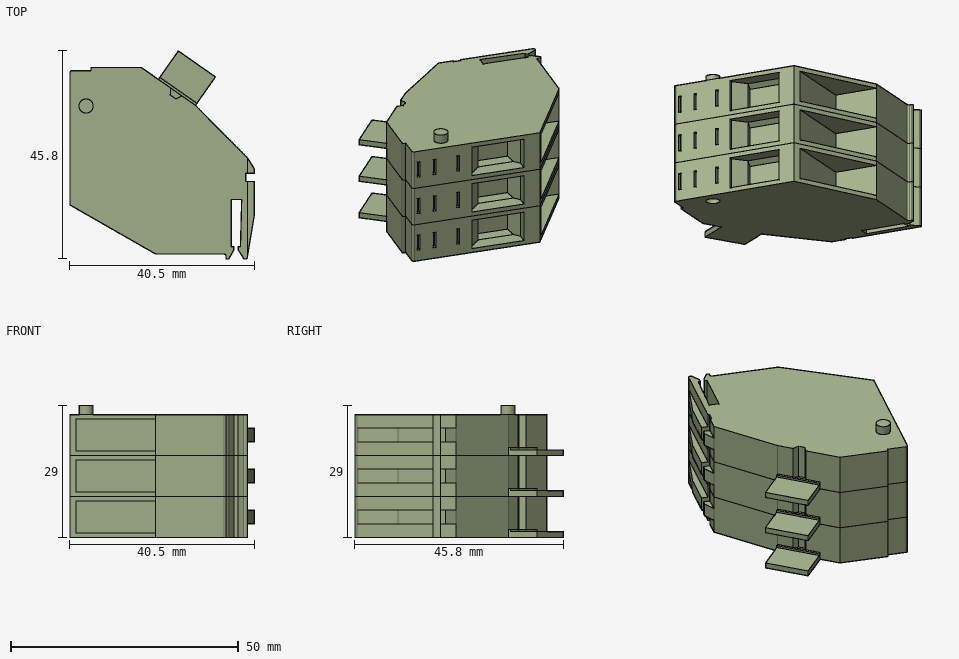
import cadquery as cq
import math


MODULE_COUNT = 3
STACK_HEIGHT = 27.0
MODULE_HEIGHT = STACK_HEIGHT / MODULE_COUNT
WALL = 1.0

OVERALL_DEPTH = 45.75
BODY_WIDTH = 39.05
BODY_BACK = 42.15
BODY_FRONT = 1.1
LEDGE_DROP = 0.75
LEDGE_LENGTH = 4.6
LEDGE_CORNER_RADIUS = 0.5
STEP_CORNER_RADIUS = 0.27
FRONT_SLANT_X = 18.85
FRONT_SLANT_Y = 11.9
BACK_SLANT_X = 15.65
BACK_SLANT_END = (27.6, 33.8)
RIGHT_TOP_Y = 22.25

SLOT_LEFT = 35.45
SLOT_RIGHT = 37.7
SLOT_TOP = 13.1
SLOT_TAPER = 0.27
HOOK_TOP = 2.75
HOOK_SIDE_END = 1.95
HOOK_LEFT_TIP = 36.0
HOOK_RIGHT_TIP = 37.0
LEFT_LEG_OUTER = 34.3
LEFT_LEG_INNER = 34.88
LEFT_LEG_RADIUS = 0.25
RIGHT_LEG_RADIUS = 0.5
LEG_ROOT_RADIUS = 0.4

OVERALL_WIDTH = 40.5
RIB_THICKNESS = 3.0
RIB_CHAMFER_Y = 19.85
RIB_TAPER_Y = 9.5
RIB_END_Y = 0.7
GROOVE_BOTTOM = 17.1
GROOVE_TOP = 18.85
GROOVE_DEPTH = 0.35

TAB_LENGTH = 10.0
TAB_THICKNESS = 1.3
TAB_EMBED = 1.37
TAB_ROOT_WIDTH = 0.55
TAB_ROOT_THICKNESS = 1.75
NOTCH_SIDE = 1.5
NOTCH_FROM_END = 5.13

POCKET_LEFT = 1.37

WINDOW_FRONT = 15.6
WINDOW_BACK = 27.6
WINDOW_LIP = 0.75
WINDOW_RAMP_DEPTH = 2.8
WINDOW_RAMP_RUN = 2.6
FUNNEL_DEPTH = 1.0
WINDOW_FLOOR_FRONT = 17.85

SLIT_CENTRES_Y = (30.85, 36.25, 40.0)
SLIT_WIDTH = 0.6
SLIT_HEIGHT = 3.7
SLIT_DEPTH = 1.0

PIN_X = 3.55
PIN_Y = 33.65
PIN_RADIUS = 1.55
PIN_HEIGHT = 2.0

SLANT_RUN = BACK_SLANT_END[0] - BACK_SLANT_X
SLANT_RISE = BODY_BACK - BACK_SLANT_END[1]
SLANT_ANGLE = math.atan2(SLANT_RISE, SLANT_RUN)
TAB_REACH = (
    OVERALL_DEPTH - BACK_SLANT_END[1] - TAB_LENGTH * math.sin(SLANT_ANGLE)
) / math.cos(SLANT_ANGLE)


def box(x_min, x_max, y_min, y_max, z_min, z_max):
    """Box between two limits on each axis."""
    size = (x_max - x_min, y_max - y_min, z_max - z_min)
    return cq.Workplane("XY").box(*size, centered=False).translate((x_min, y_min, z_min))


def prism(points, z_min, z_max):
    """Upright prism with the given XY outline."""
    return cq.Workplane("XY").workplane(offset=z_min).polyline(points).close().extrude(z_max - z_min)


def round_corner(solid, corner, radius):
    """Fillet the upright edge that stands on the given XY point."""
    x, y = corner
    reach = 0.025
    selector = cq.selectors.BoxSelector(
        (x - reach, y - reach, -reach), (x + reach, y + reach, MODULE_HEIGHT + reach)
    )
    return solid.edges("|Z").edges(selector).fillet(radius)


def spring_leg_round():
    """Start, middle and end of the arc that rounds the spring leg's tip, from its outer side."""
    centre_x = BODY_WIDTH - RIGHT_LEG_RADIUS
    centre_y = RIGHT_LEG_RADIUS
    hook_dx = HOOK_RIGHT_TIP - centre_x
    hook_dy = HOOK_SIDE_END - centre_y
    hook_direction = math.atan2(hook_dy, hook_dx)
    tangent = hook_direction + math.acos(RIGHT_LEG_RADIUS / math.hypot(hook_dx, hook_dy))
    arc_end = (
        centre_x + RIGHT_LEG_RADIUS * math.cos(tangent),
        centre_y + RIGHT_LEG_RADIUS * math.sin(tangent),
    )
    return (BODY_WIDTH, centre_y), (centre_x, 0), arc_end


def body_plate():
    """Full-height plate with the module's outline, its rail slot and its two hooked legs."""
    ledge_y = BODY_BACK - LEDGE_DROP
    round_start, round_middle, round_end = spring_leg_round()
    outline = [
        round_end,
        (HOOK_RIGHT_TIP, HOOK_SIDE_END),
        (HOOK_RIGHT_TIP, HOOK_TOP),
        (SLOT_RIGHT - SLOT_TAPER, HOOK_TOP),
        (SLOT_RIGHT, SLOT_TOP),
        (SLOT_LEFT, SLOT_TOP),
        (SLOT_LEFT, HOOK_TOP),
        (HOOK_LEFT_TIP, HOOK_TOP),
        (HOOK_LEFT_TIP, HOOK_SIDE_END),
        (LEFT_LEG_INNER, 0),
        (LEFT_LEG_OUTER, 0),
        (LEFT_LEG_OUTER, BODY_FRONT),
        (FRONT_SLANT_X, BODY_FRONT),
        (0, FRONT_SLANT_Y),
        (0, ledge_y),
        (LEDGE_LENGTH, ledge_y),
        (LEDGE_LENGTH, BODY_BACK),
        (BACK_SLANT_X, BODY_BACK),
        BACK_SLANT_END,
        (BODY_WIDTH, RIGHT_TOP_Y),
        round_start,
    ]
    plate = (
        cq.Workplane("XY")
        .polyline(outline)
        .threePointArc(round_middle, round_end)
        .close()
        .extrude(MODULE_HEIGHT)
    )
    rounded_corners = [
        ((0, ledge_y), LEDGE_CORNER_RADIUS),
        ((LEDGE_LENGTH, BODY_BACK), STEP_CORNER_RADIUS),
        ((LEFT_LEG_INNER, 0), LEFT_LEG_RADIUS),
        ((LEFT_LEG_OUTER, 0), LEFT_LEG_RADIUS),
        ((LEFT_LEG_OUTER, BODY_FRONT), LEG_ROOT_RADIUS),
    ]
    for corner, radius in rounded_corners:
        plate = round_corner(plate, corner, radius)
    return plate


def release_rib():
    """Tapered rib at mid-height along the right side."""
    z_min = (MODULE_HEIGHT - RIB_THICKNESS) / 2
    outline = [
        (BODY_WIDTH, RIB_END_Y),
        (OVERALL_WIDTH, RIB_TAPER_Y),
        (OVERALL_WIDTH, RIB_CHAMFER_Y),
        (BODY_WIDTH, RIGHT_TOP_Y),
    ]
    return prism(outline, z_min, z_min + RIB_THICKNESS)


def release_groove():
    """Screwdriver groove across the rib and slightly into the body."""
    return box(
        BODY_WIDTH - GROOVE_DEPTH, OVERALL_WIDTH, GROOVE_BOTTOM, GROOVE_TOP, 0, MODULE_HEIGHT
    )


def slant_point(along, outward):
    """XY point given along the back slant from its lower end, and outward from it."""
    x = BACK_SLANT_END[0] - along * math.cos(SLANT_ANGLE) + outward * math.sin(SLANT_ANGLE)
    y = BACK_SLANT_END[1] + along * math.sin(SLANT_ANGLE) + outward * math.cos(SLANT_ANGLE)
    return (x, y)


def tab_plate(outward, thickness):
    """Plate at the bottom of the module, standing out from the back slant."""
    outline = [
        BACK_SLANT_END,
        slant_point(0, outward),
        slant_point(TAB_LENGTH, outward),
        slant_point(TAB_LENGTH, -TAB_EMBED),
        slant_point(TAB_EMBED, -TAB_EMBED),
    ]
    return prism(outline, 0, thickness)


def tab_notch():
    """Half-hexagonal notch in the slant, open at the top and ending on the level of the tab."""
    half_height = NOTCH_SIDE * math.sin(math.radians(60))
    outline = [
        slant_point(NOTCH_FROM_END - NOTCH_SIDE, 0),
        slant_point(NOTCH_FROM_END - NOTCH_SIDE / 2, -half_height),
        slant_point(NOTCH_FROM_END + NOTCH_SIDE / 2, -half_height),
        slant_point(NOTCH_FROM_END + NOTCH_SIDE, 0),
    ]
    return prism(outline, TAB_THICKNESS, MODULE_HEIGHT)


def front_pocket():
    """Square-cornered pocket that opens through the slanted front face."""
    slant_slope = (FRONT_SLANT_Y - BODY_FRONT) / FRONT_SLANT_X
    pocket_back = FRONT_SLANT_Y - slant_slope * POCKET_LEFT
    outline = [(POCKET_LEFT, pocket_back), (FRONT_SLANT_X, pocket_back), (FRONT_SLANT_X, BODY_FRONT)]
    return prism(outline, WALL, MODULE_HEIGHT - WALL)


def entry_window():
    """Wire-entry window: a ramped opening that narrows to its floor in a 45 degree funnel."""
    ramp_end_x = WINDOW_LIP + WINDOW_RAMP_DEPTH
    floor_x = ramp_end_x + FUNNEL_DEPTH
    ramp_end_y = WINDOW_BACK - WINDOW_RAMP_RUN
    front_ramp_x = floor_x - (WINDOW_FLOOR_FRONT - WINDOW_FRONT)
    plan = prism(
        [
            (0, WINDOW_FRONT),
            (front_ramp_x, WINDOW_FRONT),
            (floor_x, WINDOW_FLOOR_FRONT),
            (floor_x, ramp_end_y),
            (ramp_end_x, ramp_end_y),
            (WINDOW_LIP, WINDOW_BACK),
            (0, WINDOW_BACK),
        ],
        WALL,
        MODULE_HEIGHT - WALL,
    )
    section = (
        cq.Workplane("XZ", origin=(0, WINDOW_BACK, 0))
        .polyline(
            [
                (0, WALL),
                (ramp_end_x, WALL),
                (floor_x, WALL + FUNNEL_DEPTH),
                (floor_x, MODULE_HEIGHT - WALL - FUNNEL_DEPTH),
                (ramp_end_x, MODULE_HEIGHT - WALL),
                (0, MODULE_HEIGHT - WALL),
            ]
        )
        .close()
        .extrude(WINDOW_BACK - WINDOW_FRONT)
    )
    return plan.intersect(section)


def test_slit(centre_y):
    """Narrow upright slit in the left face."""
    z_min = (MODULE_HEIGHT - SLIT_HEIGHT) / 2
    y_min = centre_y - SLIT_WIDTH / 2
    return box(0, SLIT_DEPTH, y_min, y_min + SLIT_WIDTH, z_min, z_min + SLIT_HEIGHT)


def pin_cylinder(z_min):
    """Cylinder on the pin axis, used for the pin and for its socket."""
    return cq.Workplane("XY").circle(PIN_RADIUS).extrude(PIN_HEIGHT).translate((PIN_X, PIN_Y, z_min))


def terminal_module():
    """One complete module standing on Z = 0."""
    module = body_plate().union(release_rib()).cut(release_groove())
    module = module.union(tab_plate(TAB_REACH, TAB_THICKNESS))
    module = module.union(tab_plate(TAB_ROOT_WIDTH, TAB_ROOT_THICKNESS))
    module = module.cut(tab_notch()).cut(front_pocket()).cut(entry_window())
    for centre_y in SLIT_CENTRES_Y:
        module = module.cut(test_slit(centre_y))
    return module.union(pin_cylinder(MODULE_HEIGHT)).cut(pin_cylinder(0))


first_module = terminal_module()
modules = [first_module.translate((0, 0, index * MODULE_HEIGHT)) for index in range(MODULE_COUNT)]

result = cq.Compound.makeCompound([module.val() for module in modules])